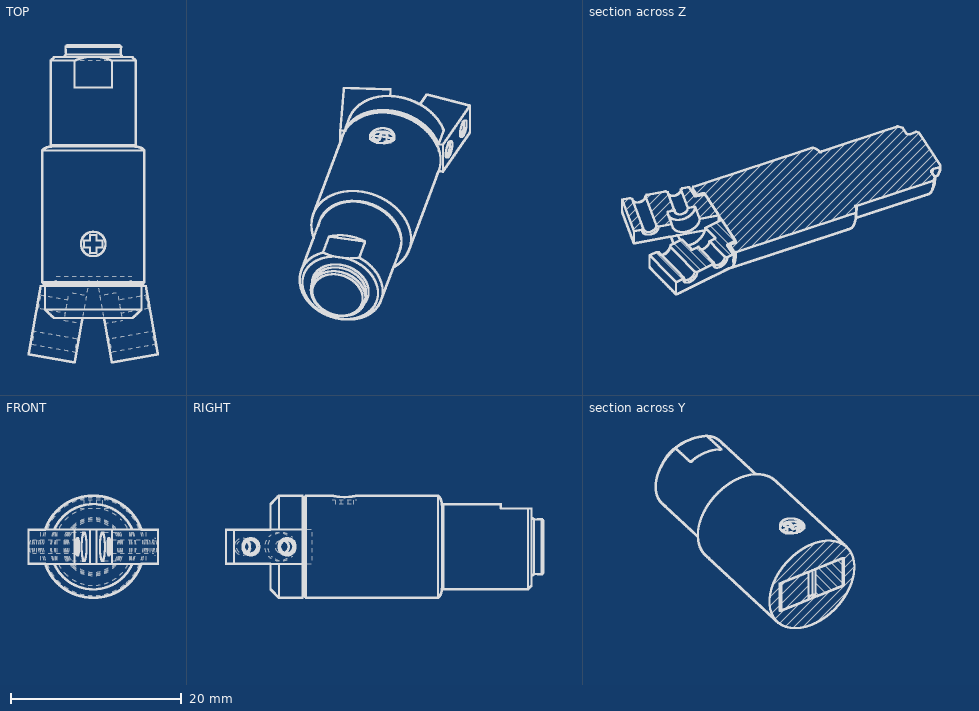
import cadquery as cq
import math


rear_y = 32.0
collar_end_y = 30.6
undercut_rear_y = 20.27
undercut_front_y = 20.1
shoulder_end_y = 19.66
groove_rear_y = 4.02
groove_front_y = 3.77
front_chamfer = 1.0
collar_chamfer = 0.45
groove_chamfer = 0.18

body_radius = 12.0 / 2
collar_radius = 10.0 / 2
undercut_radius = 9.8 / 2
shoulder_bulge = 0.12
groove_radius = 5.75
spigot_radius = 3.28
spigot_root_radius = 3.42
spigot_waist_radius = 3.2
spigot_waist_y = 30.9
spigot_chamfer = 0.25

flat_z = 4.5
flat_length = 3.6

screw_y = 8.68
screw_diameter = 2.87
screw_head_z = 5.5
cross_span = 2.15
cross_arm_width = 0.8
cross_depth = 0.5

opening_angle = 10.0
finger_width = 5.5
finger_height = 4.0
overall_width = 15.17
finger_tip_y = -5.21
finger_shoulder_y = groove_front_y
tang_width = 3.8
tang_end_y = 4.9
thread_diameter = 1.57
thread_chamfer = 0.22
hole_distances = (2.0, 6.3)
counterbore_diameter = 3.33
counterbore_depth = 2.1

pocket_width = 9.0

cos_open = math.cos(math.radians(opening_angle))
tan_open = math.tan(math.radians(opening_angle))
finger_tip_x = overall_width / 2 - finger_width * cos_open


def make_turned_housing():
    """Turned outline, as (radius, Y), spun about the Y axis."""
    outline = (
        cq.Workplane("XY")
        .moveTo(0, 0)
        .lineTo(body_radius - front_chamfer, 0)
        .lineTo(body_radius, front_chamfer)
        .lineTo(body_radius, groove_front_y)
        .lineTo(groove_radius, groove_front_y)
        .lineTo(groove_radius, groove_rear_y)
        .lineTo(body_radius - groove_chamfer, groove_rear_y)
        .lineTo(body_radius, groove_rear_y + groove_chamfer)
        .lineTo(body_radius, shoulder_end_y)
        .sagittaArc((undercut_radius, undercut_front_y), -shoulder_bulge)
        .lineTo(undercut_radius, undercut_rear_y)
        .lineTo(collar_radius, undercut_rear_y)
        .lineTo(collar_radius, collar_end_y - collar_chamfer)
        .lineTo(collar_radius - collar_chamfer, collar_end_y)
        .lineTo(spigot_root_radius, collar_end_y)
        .lineTo(spigot_waist_radius, spigot_waist_y)
        .lineTo(spigot_radius, rear_y - spigot_chamfer)
        .lineTo(spigot_radius - spigot_chamfer, rear_y)
        .lineTo(0, rear_y)
        .close()
    )
    return outline.revolve(360, (0, 0, 0), (0, 1, 0))


def make_collar_flat():
    """Block removed above the flat at the rear of the collar."""
    return (
        cq.Workplane("XY", origin=(0, collar_end_y, flat_z))
        .rect(2 * collar_radius, 2 * flat_length)
        .extrude(collar_radius - flat_z)
    )


def make_screw_recess():
    """Round recess down to the screw head, with the cross sunk into the head."""
    head = cq.Workplane("XY", origin=(0, screw_y, screw_head_z))
    recess = head.circle(screw_diameter / 2).extrude(body_radius - screw_head_z)
    arm_along_x = head.rect(cross_span, cross_arm_width).extrude(-cross_depth)
    arm_along_y = head.rect(cross_arm_width, cross_span).extrude(-cross_depth)
    return recess.union(arm_along_x).union(arm_along_y)


def make_finger_slot():
    """Slot across the front, with a narrower pocket behind it for the tangs."""
    slot = cq.Workplane("XY").box(
        2 * body_radius, groove_rear_y, finger_height, centered=(True, False, True)
    )
    pocket = cq.Workplane("XY").box(
        pocket_width, tang_end_y, finger_height, centered=(True, False, True)
    )
    return slot.union(pocket)


def make_housing():
    return (
        make_turned_housing()
        .cut(make_collar_flat())
        .cut(make_screw_recess())
        .cut(make_finger_slot())
    )


def length_to(end_y, x):
    """Distance along the finger, at x across it, to a plane square to the housing axis."""
    return (end_y - finger_tip_y) / cos_open - x * tan_open


def make_threaded_hole(distance):
    """Hole across the finger, chamfered at both faces."""
    hole = (
        cq.Workplane("YZ", origin=(0, distance, 0))
        .circle(thread_diameter / 2)
        .extrude(finger_width)
    )
    mouth_radius = thread_diameter / 2 + thread_chamfer
    for face_x, inward in ((0, 1), (finger_width, -1)):
        mouth = cq.Solid.makeCone(
            mouth_radius,
            thread_diameter / 2,
            thread_chamfer,
            pnt=cq.Vector(face_x, distance, 0),
            dir=cq.Vector(inward, 0, 0),
        )
        hole = hole.union(cq.Workplane(obj=mouth))
    return hole


def make_right_finger():
    """Built along Y with its inner tip corner at the origin, then swung open into place."""
    finger = (
        cq.Workplane("XY", origin=(0, 0, -finger_height / 2))
        .polyline([
            (0, 0),
            (finger_width, 0),
            (finger_width, length_to(finger_shoulder_y, finger_width)),
            (tang_width, length_to(finger_shoulder_y, tang_width)),
            (tang_width, length_to(tang_end_y, tang_width)),
            (0, length_to(tang_end_y, 0)),
        ])
        .close()
        .extrude(finger_height)
    )
    for distance in hole_distances:
        finger = finger.cut(make_threaded_hole(distance))
    counterbore = (
        cq.Workplane("YZ", origin=(0, max(hole_distances), 0))
        .circle(counterbore_diameter / 2)
        .extrude(counterbore_depth)
    )
    return (
        finger.cut(counterbore)
        .rotate((0, 0, 0), (0, 0, 1), opening_angle)
        .translate((finger_tip_x, finger_tip_y, 0))
    )


housing = make_housing()
right_finger = make_right_finger()
fingers = [right_finger, right_finger.mirror("YZ")]

result = cq.Compound.makeCompound([housing.solids().val(), *[finger.solids().val() for finger in fingers]])